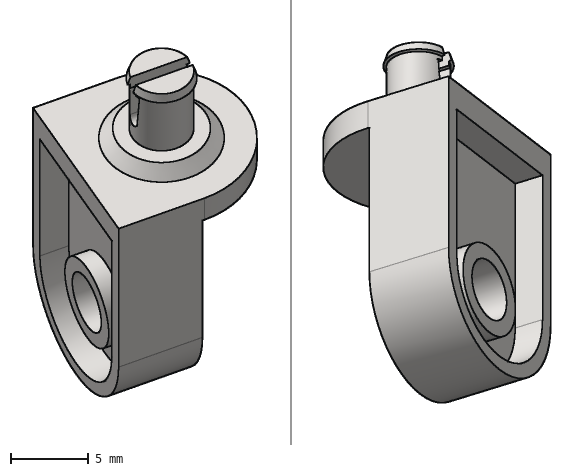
import cadquery as cq
import math


width = 12.4
outer_radius = width / 2
front_y = -6.23
body_depth = 6.1
body_top = 12.7
plate_thickness = 2.0

wall = 1.0
pocket_depth = 2.1
boss_diameter = 6.35
boss_height = 1.3
hole_diameter = 4.2

collar_base_diameter = 8.15
collar_top_diameter = 6.35
collar_height = 0.9
pin_diameter = 4.2
pin_top = 18.84
lip_diameter = 4.6
lip_height = 0.62
lip_underside_height = 0.08

slot_width = 0.8
slot_neck_depth = 1.0
slot_depth = 4.0
slot_shoulder_width = 1.46
slot_end_radius = 0.52


def arch_prism(radius, top, depth):
    """Upright plate, round about the hole axis below, running back from the front face."""
    return (
        cq.Workplane("XZ", origin=(0, front_y, 0))
        .moveTo(-radius, top)
        .lineTo(-radius, 0)
        .threePointArc((0, -radius), (radius, 0))
        .lineTo(radius, top)
        .close()
        .extrude(-depth)
    )


def cylinder_y(diameter, start_y, length):
    """Cylinder on the hole axis, running from start_y toward +Y."""
    return cq.Workplane("XZ", origin=(0, start_y, 0)).circle(diameter / 2).extrude(-length)


def make_top_plate():
    """Horizontal plate with a round rear end centred on the pin axis."""
    return (
        cq.Workplane("XY", origin=(0, 0, body_top - plate_thickness))
        .moveTo(-outer_radius, front_y)
        .lineTo(-outer_radius, 0)
        .threePointArc((0, outer_radius), (outer_radius, 0))
        .lineTo(outer_radius, front_y)
        .close()
        .extrude(plate_thickness)
    )


def make_bracket():
    """Pocketed upright and top plate, with the boss and its through hole."""
    upright = arch_prism(outer_radius, body_top, body_depth)
    pocket = arch_prism(outer_radius - wall, body_top - plate_thickness, pocket_depth)
    floor_y = front_y + pocket_depth
    boss = cylinder_y(boss_diameter, floor_y - boss_height, boss_height)
    hole = cylinder_y(hole_diameter, front_y, body_depth)
    return upright.cut(pocket).union(make_top_plate()).union(boss).cut(hole)


def make_pin():
    """Collar, shank and snap lip with a conical top and underside, turned about the Z axis."""
    collar_top = body_top + collar_height
    lip_edge_z = pin_top - lip_height
    lip_bottom = lip_edge_z - lip_underside_height
    pin_radius = pin_diameter / 2
    return (
        cq.Workplane("XZ")
        .moveTo(0, body_top)
        .lineTo(collar_base_diameter / 2, body_top)
        .lineTo(collar_top_diameter / 2, collar_top)
        .lineTo(pin_radius, collar_top)
        .lineTo(pin_radius, lip_bottom)
        .lineTo(lip_diameter / 2, lip_edge_z)
        .lineTo(pin_radius, pin_top)
        .lineTo(0, pin_top)
        .close()
        .revolve(360, (0, 0), (0, 1))
    )


def make_slot():
    """Narrow neck over a wider slot whose sides taper tangentially into a round end."""
    neck_half = slot_width / 2
    shoulder_half = slot_shoulder_width / 2
    shoulder_z = pin_top - slot_neck_depth
    end_z = pin_top - slot_depth
    center_z = end_z + slot_end_radius

    rise = shoulder_z - center_z
    tangent_angle = math.atan2(rise, shoulder_half) - math.acos(
        slot_end_radius / math.hypot(shoulder_half, rise)
    )
    tangent_x = slot_end_radius * math.cos(tangent_angle)
    tangent_z = center_z + slot_end_radius * math.sin(tangent_angle)

    return (
        cq.Workplane("XZ")
        .moveTo(-neck_half, pin_top)
        .lineTo(-neck_half, shoulder_z)
        .lineTo(-shoulder_half, shoulder_z)
        .lineTo(-tangent_x, tangent_z)
        .threePointArc((0, end_z), (tangent_x, tangent_z))
        .lineTo(shoulder_half, shoulder_z)
        .lineTo(neck_half, shoulder_z)
        .lineTo(neck_half, pin_top)
        .close()
        .extrude(lip_diameter / 2, both=True)
    )


result = make_bracket().union(make_pin().cut(make_slot()))